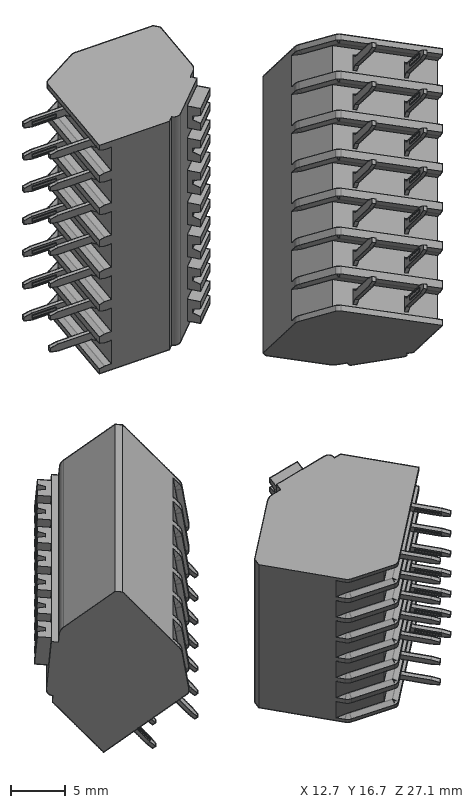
import cadquery as cq
import math

POLES = 7
STACK_HEIGHT = 27.05
END_MARGIN = 0.2
PITCH = (STACK_HEIGHT - 2 * END_MARGIN) / POLES
MID_HEIGHT = STACK_HEIGHT / 2

WIDTH = 12.7
DEPTH = 12.88
TOP_CHAMFER = 0.5
SLOPE_RUN = 2.5
SLOPE_RISE = 4.09
SLOPE_TOP_RADIUS = 1.08
SLOPE_FOOT_RADIUS = 0.55

DIAGONAL_START = 7.05
DIAGONAL_LEAD_RADIUS = 1.08
PAD_START = 1.35
PAD_HEIGHT = 0.65
PAD_ROUND_START = 6.63

CORE_BOTTOM = 1.25
CORE_SLOPE_TOP = 5.25
CORE_SLOPE_RUN = (CORE_SLOPE_TOP - CORE_BOTTOM) * SLOPE_RUN / SLOPE_RISE

RIB_RIM = 0.75
RIB_FLANK = 0.15
RIB_BEVEL_DEPTH = 0.55
RIB_OVERRUN = 2.7
RIB_ROOT = CORE_SLOPE_TOP + RIB_OVERRUN

LEVER_START = 1.45
LEVER_LENGTH = 3.03
LEVER_TOP = 1.92
LEVER_WIDTH = 2.6
GROOVE_DEPTH = 0.75
GROOVE_TOP_WIDTH = 0.95
GROOVE_FLOOR_WIDTH = 0.4

PIN_SPACING = 5.0
PIN_LEFT = 4.45
PIN_THICKNESS = 0.38
PIN_WIDTH = 0.85
PIN_ROOT_WIDTH = 1.52
PIN_FLARE_END = 0.78
PIN_TIP = -3.52
PIN_TIP_WIDTH = 0.45
PIN_TAPER_START = -2.7
RIDGE_TOP = -0.25
RIDGE_WIDTH = 0.35
RIDGE_HEIGHT = 0.095

DIAGONAL_LENGTH = (WIDTH - DIAGONAL_START) * math.sqrt(2)


def on_diagonal(along, height):
    """XY point at a distance along the diagonal face and a height above it."""
    x = DIAGONAL_START + (along + height) / math.sqrt(2)
    y = DEPTH + (height - along) / math.sqrt(2)
    return x, y


def round_corner(solid, x, y, radius):
    """Fillet the vertical edge that passes closest to (x, y)."""
    corner = cq.selectors.NearestToPointSelector((x, y, solid.val().Center().z))
    return solid.edges("|Z").edges(corner).fillet(radius)


def round_slope(solid):
    """Round both ends of the slope shared by the envelope and the ribs."""
    solid = round_corner(solid, 0, SLOPE_RISE, SLOPE_TOP_RADIUS)
    return round_corner(solid, SLOPE_RUN, 0, SLOPE_FOOT_RADIUS)


def housing_block(slope_run, slope_top, bottom):
    """Full-height housing whose lower left corner is cut by the given slope."""
    pad_round_middle = PAD_HEIGHT / math.sqrt(2)
    housing = (
        cq.Workplane("XY")
        .moveTo(slope_run, bottom)
        .lineTo(0, slope_top)
        .lineTo(0, DEPTH - TOP_CHAMFER)
        .lineTo(TOP_CHAMFER, DEPTH)
        .lineTo(DIAGONAL_START, DEPTH)
        .lineTo(*on_diagonal(PAD_START, 0))
        .lineTo(*on_diagonal(PAD_START, PAD_HEIGHT))
        .lineTo(*on_diagonal(PAD_ROUND_START, PAD_HEIGHT))
        .threePointArc(
            on_diagonal(PAD_ROUND_START + pad_round_middle, pad_round_middle),
            on_diagonal(PAD_ROUND_START + PAD_HEIGHT, 0),
        )
        .lineTo(*on_diagonal(DIAGONAL_LENGTH, 0))
        .lineTo(WIDTH, bottom)
        .close()
        .extrude(STACK_HEIGHT)
    )
    return round_corner(housing, DIAGONAL_START, DEPTH, DIAGONAL_LEAD_RADIUS)


def rib_outline(z):
    """Lower part of the housing outline, running past the right face so that end stays square."""
    right = WIDTH + RIB_OVERRUN
    return cq.Workplane("XY", origin=(0, 0, z)).polyline(
        [(0, RIB_ROOT), (0, SLOPE_RISE), (SLOPE_RUN, 0), (right, 0), (right, RIB_ROOT)]
    ).close()


def make_rib():
    """Rib centered on Z = 0."""
    bevel_angle = math.degrees(math.atan(RIB_BEVEL_DEPTH / RIB_FLANK))
    rim = round_slope(rib_outline(-RIB_RIM / 2).extrude(RIB_RIM))
    flank = (
        rim.faces(">Z").wires().toPending()
        .extrude(RIB_FLANK, combine=False, taper=bevel_angle)
    )
    return rim.union(flank).union(flank.mirror("XY"))


def make_lever():
    """Grooved lever centered on Z = 0; its length runs along the diagonal."""
    lever_end = LEVER_START + LEVER_LENGTH
    corners = [(LEVER_START, 0), (LEVER_START, LEVER_TOP), (lever_end, LEVER_TOP), (lever_end, 0)]
    block = (
        cq.Workplane("XY")
        .polyline([on_diagonal(along, height) for along, height in corners])
        .close()
        .extrude(LEVER_WIDTH / 2, both=True)
    )
    top_edge = on_diagonal(LEVER_START, LEVER_TOP)
    groove_plane = cq.Plane(origin=(*top_edge, 0), xDir=(0, 0, -1), normal=(1, -1, 0))
    groove = (
        cq.Workplane(groove_plane)
        .polyline([
            (-GROOVE_TOP_WIDTH / 2, 0),
            (GROOVE_TOP_WIDTH / 2, 0),
            (GROOVE_FLOOR_WIDTH / 2, -GROOVE_DEPTH),
            (-GROOVE_FLOOR_WIDTH / 2, -GROOVE_DEPTH),
        ])
        .close()
        .extrude(LEVER_LENGTH)
    )
    return block.cut(groove)


def make_pin_pair():
    """Both pins of one pole, centered on Z = 0, with their ridges facing each other."""
    half_outline = [
        (CORE_BOTTOM, PIN_ROOT_WIDTH / 2),
        (PIN_FLARE_END, PIN_WIDTH / 2),
        (PIN_TAPER_START, PIN_WIDTH / 2),
        (PIN_TIP, PIN_TIP_WIDTH / 2),
    ]
    mirrored = [(y, -z) for y, z in reversed(half_outline)]
    blade = (
        cq.Workplane("YZ")
        .polyline(half_outline + mirrored)
        .close()
        .extrude(PIN_THICKNESS / 2, both=True)
    )
    ridge = (
        cq.Workplane("YZ", origin=(PIN_THICKNESS / 2, 0, 0))
        .center((RIDGE_TOP + PIN_TAPER_START) / 2, 0)
        .rect(RIDGE_TOP - PIN_TAPER_START, RIDGE_WIDTH)
        .extrude(RIDGE_HEIGHT)
    )
    pin = blade.union(ridge)
    left_center = PIN_LEFT + PIN_THICKNESS / 2
    left_pin = pin.translate((left_center, 0, 0))
    right_pin = pin.mirror("YZ").translate((left_center + PIN_SPACING, 0, 0))
    return left_pin.union(right_pin)


envelope = round_slope(housing_block(SLOPE_RUN, SLOPE_RISE, 0))
result = housing_block(CORE_SLOPE_RUN, CORE_SLOPE_TOP, CORE_BOTTOM)

rib = make_rib()
for boundary in range(POLES + 1):
    rib_height = MID_HEIGHT + (boundary - POLES / 2) * PITCH
    result = result.union(rib.translate((0, 0, rib_height)).intersect(envelope))

lever = make_lever()
pin_pair = make_pin_pair()
for pole in range(POLES):
    pole_height = MID_HEIGHT + (pole - (POLES - 1) / 2) * PITCH
    result = result.union(lever.translate((0, 0, pole_height)))
    result = result.union(pin_pair.translate((0, 0, pole_height)))